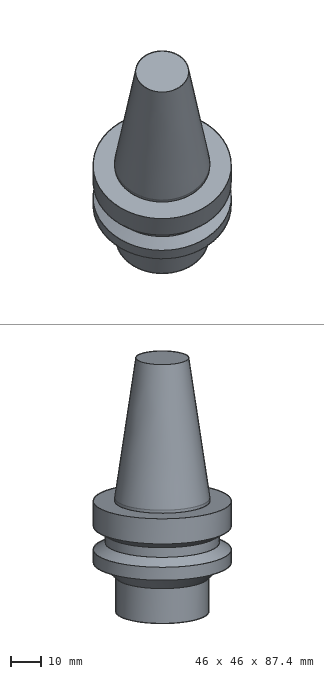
import cadquery as cq

nose_diameter = 31.0
flange_diameter = 46.0
groove_diameter = 38.0
gauge_diameter = 31.7

nose_top = 12.1
flange_bottom = 16.95
groove_lower_edge = 21.4
groove_upper_edge = 29.45
groove_wall_height = 2.4
flange_top = 38.1
taper_start = 39.15
total_height = 87.4

collar_diameter = nose_diameter + 2 * (flange_bottom - nose_top)

taper_ratio = 7 / 24
tip_diameter = gauge_diameter - taper_ratio * (total_height - taper_start)

profile = [
    (nose_diameter, 0),
    (nose_diameter, nose_top),
    (collar_diameter, flange_bottom),
    (flange_diameter, flange_bottom),
    (flange_diameter, groove_lower_edge),
    (groove_diameter, groove_lower_edge + groove_wall_height),
    (groove_diameter, groove_upper_edge - groove_wall_height),
    (flange_diameter, groove_upper_edge),
    (flange_diameter, flange_top),
    (gauge_diameter, flange_top),
    (gauge_diameter, taper_start),
    (tip_diameter, total_height),
]

outline = [(0, 0)]
outline += [(diameter / 2, height) for diameter, height in profile]
outline += [(0, total_height)]

result = (
    cq.Workplane("XZ")
    .polyline(outline)
    .close()
    .revolve(360, (0, 0, 0), (0, 1, 0))
)